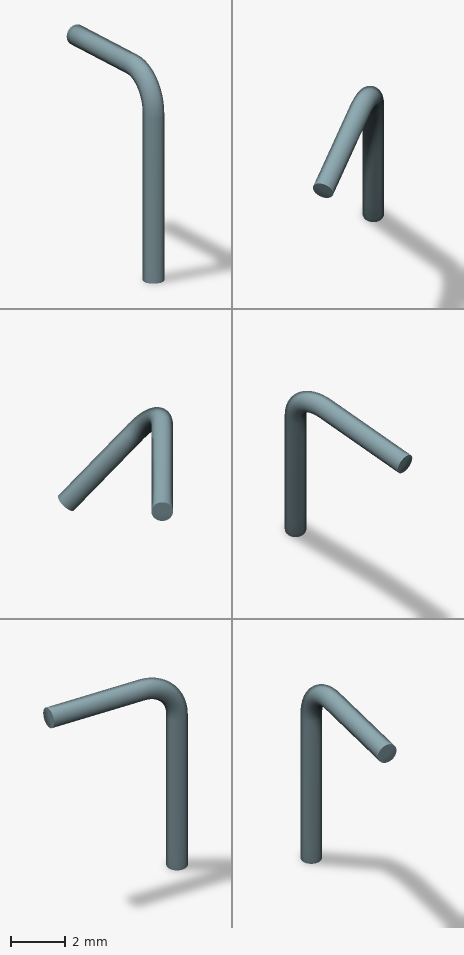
import cadquery as cq

overall_length = 5.9
overall_height = 8.4
wire_diameter = 0.8
bend_radius = 1.5

wire_radius = wire_diameter / 2
bend_outer_radius = bend_radius + wire_radius
arm_length = overall_length - bend_outer_radius
leg_length = overall_height - bend_outer_radius

arm = cq.Workplane("YZ").circle(wire_radius).extrude(arm_length)

elbow = (
    cq.Workplane("YZ", origin=(arm_length, 0, 0))
    .circle(wire_radius)
    .revolve(90, (0, -bend_radius), (1, -bend_radius))
)

leg = (
    cq.Workplane("XY", origin=(arm_length + bend_radius, 0, -bend_radius))
    .circle(wire_radius)
    .extrude(-leg_length)
)

result = arm.union(elbow).union(leg)